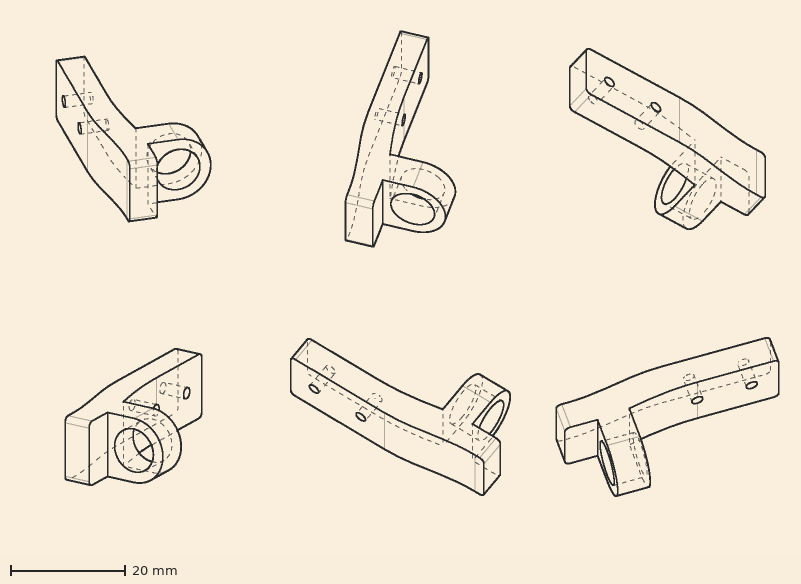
import cadquery as cq

length = 40.0
height = 12.0
thickness = 5.0
corner_radius = 1.0

step = 2.0
front_bend_start = 20.0
front_bend_end = 38.0
back_bend_start = 15.0
tip_back = thickness + step

lug_start = 28.0
lug_end = 34.0
lug_root = 6.5
depth = 18.5
eye_diameter = 8.0
lug_radius = height / 2
eye_y = depth - lug_radius

screw_diameter = 2.0
screw_positions = (5.0, 15.0)

mid_height = height / 2

along_bar = (1, 0)
back_along_bar = (-1, 0)
back_from_lug = (-5, -1)


def make_bar():
    """Cranked bar with rounded end corners."""
    bar = (
        cq.Workplane("XY")
        .moveTo(0, 0)
        .lineTo(front_bend_start, 0)
        .spline([(front_bend_end, step)], tangents=[along_bar, along_bar], includeCurrent=True)
        .lineTo(length, step)
        .lineTo(length, tip_back)
        .lineTo(lug_start, tip_back)
        .lineTo(lug_start, lug_root)
        .spline(
            [(back_bend_start, thickness)],
            tangents=[back_from_lug, back_along_bar],
            includeCurrent=True,
        )
        .lineTo(0, thickness)
        .close()
        .extrude(height)
    )
    return bar.edges("|Y and (<X or >X)").fillet(corner_radius)


def make_lug():
    """Round-ended lug standing off the back of the bar."""
    block = cq.Workplane("XY").box(lug_end - lug_start, eye_y - thickness, height, centered=False)
    block = block.translate((lug_start, thickness, 0))
    return block.union(x_cylinder(lug_radius))


def x_cylinder(radius):
    """Cylinder on the eye axis, as wide as the lug."""
    return (
        cq.Workplane("YZ", origin=(lug_start, 0, 0))
        .center(eye_y, mid_height)
        .circle(radius)
        .extrude(lug_end - lug_start)
    )


def make_screw_holes():
    """Drills passing right through the bar."""
    return (
        cq.Workplane("XZ")
        .pushPoints([(x, mid_height) for x in screw_positions])
        .circle(screw_diameter / 2)
        .extrude(-tip_back)
    )


result = make_bar().union(make_lug()).cut(x_cylinder(eye_diameter / 2)).cut(make_screw_holes())